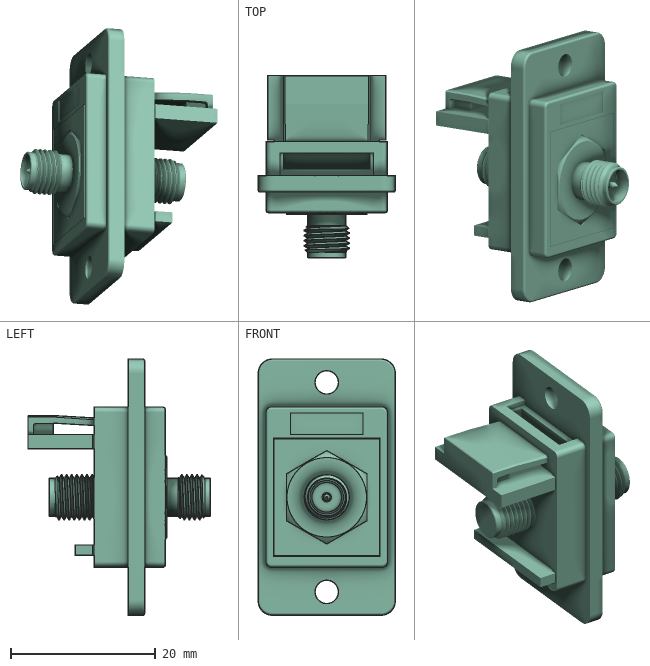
import cadquery as cq
import math


FLANGE_WIDTH = 19.0
FLANGE_HEIGHT = 35.5
FLANGE_THICKNESS = 2.3
FLANGE_CORNER_RADIUS = 2.0
FLANGE_EDGE_FILLET = 0.3
MOUNT_HOLE_DIAMETER = 3.2
MOUNT_HOLE_PITCH = 29.0

HOUSING_WIDTH = 16.8
HOUSING_HEIGHT = 22.2
HOUSING_FRONT = -2.85
HOUSING_BACK = 7.0
HOUSING_CORNER_RADIUS = 0.75
HOUSING_EDGE_FILLET = 0.35

WINDOW_WIDTH = 10.0
WINDOW_BOTTOM = 7.28
WINDOW_TOP = 10.3
WINDOW_DEPTH = 0.1

POCKET_WIDTH = 13.0
POCKET_BACK = 5.4
POCKET_DEPTH = 0.8
CATCH_FRONT = 3.2
CATCH_DEPTH = POCKET_BACK - CATCH_FRONT

AXIS_Z = -1.4
INSERT_OPENING_WIDTH = 14.8
INSERT_OPENING_HEIGHT = 16.4
INSERT_GAP = 0.12
INSERT_GAP_DEPTH = 1.0

NECK_WIDTH = INSERT_OPENING_WIDTH - 2 * INSERT_GAP
NECK_END = HOUSING_BACK + 0.2
BLADE_WIDTH = 16.35
SHELF_BOTTOM = 5.3
SHELF_TOP = 7.3
CLIP_END = HOUSING_BACK + 9.18
TAB_BOTTOM = -9.45
TAB_TOP = -8.0
TAB_END = 9.65

LATCH_WIDTH = 12.0
LATCH_TOP = 9.9
LATCH_UNDERSIDE = 8.82
LATCH_WALL = 0.75
LATCH_KNEE = 12.2
LATCH_DROP = 0.3
LATCH_INNER_FILLET = 0.4
LATCH_BEVEL_WIDTH = 0.28
LATCH_BEVEL_HEIGHT = 0.27
LATCH_END_BEVEL = 0.18
LATCH_REAR_CHAMFER = 0.1
LATCH_BLOCK_WIDTH = 9.8
LATCH_BLOCK_FRONT = 12.65

NUT_ACROSS_FLATS = 11.2
NUT_FACE_DIAMETER = 11.0
NUT_FACE = -3.1
NUT_POCKET_DEPTH = 1.0
NUT_CHAMFER_ANGLE = 30.0
NUT_TURN = 30.0

BARREL_DIAMETER = 5.3
BARREL_FRONT = -9.12
BARREL_BACK = 13.28
BARREL_EDGE_CHAMFER = 0.1
SOCKET_DIAMETER = 4.65
SOCKET_DEPTH = 1.8
FLOOR_STEP_DIAMETER = 4.1
FLOOR_STEP_DEPTH = 0.1
PIN_DIAMETER = 0.9
PIN_RECESS_DIAMETER = 1.27
PIN_RECESS_DEPTH = 0.3
PIN_TIP_DIAMETER = 0.2
PIN_TIP_LENGTH = 0.6
PIN_END = BARREL_FRONT + 0.1

THREAD_DIAMETER = 6.25
THREAD_PITCH = 25.4 / 36
THREAD_ROOT_OVERLAP = 0.05
THREAD_ROOT_WIDTH = 0.69
THREAD_CREST_WIDTH = 0.08
THREAD_OVERHANG = THREAD_PITCH / 2
FRONT_THREAD_ENDS = (-8.35, -4.6)
FRONT_THREAD_ANGLE = 0.0
REAR_THREAD_ENDS = (6.0, 12.4)
REAR_THREAD_ANGLE = 180.0


def block(width, y_start, y_end, z_bottom, z_top):
    """Box centred on x = 0."""
    size = (width, y_end - y_start, z_top - z_bottom)
    return cq.Workplane("XY").box(*size, centered=(True, False, False)).translate((0, y_start, z_bottom))


def cylinder_y(diameter, y_start, y_end, z=AXIS_Z):
    """Cylinder along Y on the x = 0 plane."""
    base = cq.Workplane("XZ", origin=(0, y_start, z))
    return base.circle(diameter / 2).extrude(y_start - y_end)


def cone_y(start_diameter, end_diameter, y_start, y_end):
    """Frustum along Y on the connector axis."""
    outline = [
        (0, y_start),
        (start_diameter / 2, y_start),
        (end_diameter / 2, y_end),
        (0, y_end),
    ]
    profile = cq.Workplane("XY").polyline(outline).close()
    return profile.revolve(360, (0, 0, 0), (0, 1, 0)).translate((0, 0, AXIS_Z))


def make_flange():
    plate = block(FLANGE_WIDTH, 0, FLANGE_THICKNESS, -FLANGE_HEIGHT / 2, FLANGE_HEIGHT / 2)
    plate = plate.edges("|Y").fillet(FLANGE_CORNER_RADIUS)
    return plate.faces("<Y").edges().fillet(FLANGE_EDGE_FILLET)


def make_housing():
    half_height = HOUSING_HEIGHT / 2
    housing = block(HOUSING_WIDTH, HOUSING_FRONT, HOUSING_BACK, -half_height, half_height)
    housing = housing.edges("|Y").fillet(HOUSING_CORNER_RADIUS)
    return housing.faces("<Y").edges().fillet(HOUSING_EDGE_FILLET)


def cut_mount_holes(body):
    for z in (-MOUNT_HOLE_PITCH / 2, MOUNT_HOLE_PITCH / 2):
        body = body.cut(cylinder_y(MOUNT_HOLE_DIAMETER, 0, FLANGE_THICKNESS, z))
    return body


def cut_label_window(body):
    window_back = HOUSING_FRONT + WINDOW_DEPTH
    return body.cut(block(WINDOW_WIDTH, HOUSING_FRONT, window_back, WINDOW_BOTTOM, WINDOW_TOP))


def cut_latch_pocket(body):
    """Shallow pocket with a steep catch slot in its floor."""
    top = HOUSING_HEIGHT / 2
    floor = top - POCKET_DEPTH
    pocket = block(POCKET_WIDTH, FLANGE_THICKNESS, POCKET_BACK, floor, top)
    slot_outline = [
        (CATCH_FRONT, floor),
        (POCKET_BACK, floor),
        (CATCH_FRONT, floor - CATCH_DEPTH),
    ]
    slot = cq.Workplane("YZ").polyline(slot_outline).close().extrude(LATCH_WIDTH / 2, both=True)
    return body.cut(pocket).cut(slot)


def cut_insert_gap(body):
    gap_back = HOUSING_FRONT + INSERT_GAP_DEPTH
    half_height = INSERT_OPENING_HEIGHT / 2
    bottom = AXIS_Z - half_height
    top = AXIS_Z + half_height
    opening = block(INSERT_OPENING_WIDTH, HOUSING_FRONT, gap_back, bottom, top)
    face = block(NECK_WIDTH, HOUSING_FRONT, gap_back, bottom + INSERT_GAP, top - INSERT_GAP)
    return body.cut(opening.cut(face))


def make_blade(y_end, z_bottom, z_top):
    neck = block(NECK_WIDTH, HOUSING_BACK, NECK_END, z_bottom, z_top)
    return neck.union(block(BLADE_WIDTH, NECK_END, y_end, z_bottom, z_top))


def make_latch():
    """Sprung arm that returns to the shelf at its rear end."""
    wall_front = CLIP_END - LATCH_WALL
    outline = [
        (HOUSING_BACK, LATCH_TOP - LATCH_DROP),
        (LATCH_KNEE, LATCH_TOP),
        (CLIP_END - LATCH_REAR_CHAMFER, LATCH_TOP),
        (CLIP_END, LATCH_TOP - LATCH_REAR_CHAMFER),
        (CLIP_END, SHELF_TOP),
        (wall_front, SHELF_TOP),
        (wall_front, LATCH_UNDERSIDE),
        (LATCH_KNEE, LATCH_UNDERSIDE),
        (HOUSING_BACK, LATCH_UNDERSIDE - LATCH_DROP),
    ]
    latch = cq.Workplane("YZ").polyline(outline).close().extrude(LATCH_WIDTH / 2, both=True)
    inner_corner = cq.selectors.NearestToPointSelector((0, wall_front, LATCH_UNDERSIDE))
    latch = latch.edges("|X").edges(inner_corner).fillet(LATCH_INNER_FILLET)
    rib = block(LATCH_BLOCK_WIDTH, LATCH_BLOCK_FRONT, wall_front, SHELF_TOP, LATCH_UNDERSIDE)
    latch = latch.union(rib)
    for side in (-1, 1):
        latch = latch.cut(make_latch_bevel(side))
    return latch


def make_latch_bevel(side):
    """Wedge that bevels one upper edge of the arm, widening toward the housing."""
    def section(y, edge_z, scale):
        edge_x = side * LATCH_WIDTH / 2
        inner_x = edge_x - side * LATCH_BEVEL_WIDTH * scale
        low_z = edge_z - LATCH_BEVEL_HEIGHT * scale
        corners = [(edge_x, edge_z), (inner_x, edge_z), (edge_x, low_z)]
        return cq.Wire.makePolygon([cq.Vector(x, y, z) for x, z in corners], close=True)

    end_scale = LATCH_END_BEVEL / LATCH_BEVEL_HEIGHT
    knee_scale = end_scale + (1 - end_scale) * (CLIP_END - LATCH_KNEE) / (CLIP_END - HOUSING_BACK)
    housing_end = section(HOUSING_BACK, LATCH_TOP - LATCH_DROP, 1)
    knee = section(LATCH_KNEE, LATCH_TOP, knee_scale)
    free_end = section(CLIP_END, LATCH_TOP, end_scale)
    sloped = cq.Solid.makeLoft([housing_end, knee], True)
    level = cq.Solid.makeLoft([knee, free_end], True)
    return cq.Workplane(sloped).union(cq.Workplane(level))


def add_nut(body):
    hex_diameter = NUT_ACROSS_FLATS / math.cos(math.pi / 6)
    pocket_back = HOUSING_FRONT + NUT_POCKET_DEPTH
    nut = cq.Workplane("XZ", origin=(0, pocket_back, AXIS_Z)).polygon(6, hex_diameter)
    nut = nut.extrude(pocket_back - NUT_FACE)
    nut = nut.rotate((0, 0, AXIS_Z), (0, 1, AXIS_Z), NUT_TURN)
    cone_length = pocket_back - NUT_FACE
    cone_growth = 2 * cone_length / math.tan(math.radians(NUT_CHAMFER_ANGLE))
    cone = cone_y(NUT_FACE_DIAMETER, NUT_FACE_DIAMETER + cone_growth, NUT_FACE, pocket_back)
    return body.cut(nut).union(nut.intersect(cone))


def make_ridge(y_start, y_end, start_angle):
    """Right-handed helical ridge, sunk in the barrel and overlong at each end."""
    root_radius = BARREL_DIAMETER / 2 - THREAD_ROOT_OVERLAP
    crest_radius = THREAD_DIAMETER / 2
    half_root = THREAD_ROOT_WIDTH / 2
    half_crest = THREAD_CREST_WIDTH / 2
    profile = [
        (root_radius, -half_root),
        (crest_radius, -half_crest),
        (crest_radius, half_crest),
        (root_radius, half_root),
    ]
    helix = cq.Wire.makeHelix(THREAD_PITCH, y_end - y_start + 2 * THREAD_OVERHANG, root_radius)
    ridge = cq.Workplane("XZ").polyline(profile).close().sweep(cq.Workplane(helix), isFrenet=True)
    ridge = ridge.rotate((0, 0, 0), (0, 0, 1), start_angle)
    return ridge.rotate((0, 0, 0), (1, 0, 0), 90).translate((0, y_end + THREAD_OVERHANG, AXIS_Z))


def make_end_trimmer(y_end, outward):
    """Ring that bevels a ridge down to the barrel surface at y_end and clears everything past it."""
    half_width = THREAD_PITCH
    barrel_radius = BARREL_DIAMETER / 2
    y_past = y_end + outward * 2 * half_width
    outline = [
        (barrel_radius - half_width, y_end + outward * half_width),
        (barrel_radius + half_width, y_end - outward * half_width),
        (barrel_radius + half_width, y_past),
        (barrel_radius - half_width, y_past),
    ]
    ring = cq.Workplane("XY").polyline(outline).close()
    return ring.revolve(360, (0, 0, 0), (0, 1, 0)).translate((0, 0, AXIS_Z))


def make_front_thread():
    y_start, y_end = FRONT_THREAD_ENDS
    ridge = make_ridge(y_start, y_end, FRONT_THREAD_ANGLE)
    return ridge.cut(make_end_trimmer(y_start, -1)).cut(make_end_trimmer(y_end, 1))


def make_rear_thread():
    """Only the outer end is bevelled; the inner end is buried in the housing."""
    y_start, y_end = REAR_THREAD_ENDS
    ridge = make_ridge(y_start, y_end, REAR_THREAD_ANGLE)
    return ridge.cut(make_end_trimmer(y_end, 1))


def make_connector():
    barrel = cylinder_y(BARREL_DIAMETER, BARREL_FRONT, BARREL_BACK)
    barrel = barrel.faces("<Y or >Y").edges().chamfer(BARREL_EDGE_CHAMFER)
    barrel = barrel.union(make_front_thread()).union(make_rear_thread())
    socket_step = BARREL_FRONT + SOCKET_DEPTH
    socket_floor = socket_step + FLOOR_STEP_DEPTH
    barrel = barrel.cut(cylinder_y(SOCKET_DIAMETER, BARREL_FRONT, socket_step))
    barrel = barrel.cut(cylinder_y(FLOOR_STEP_DIAMETER, socket_step, socket_floor))
    pin_shoulder = PIN_END + PIN_TIP_LENGTH
    recess_floor = socket_floor + PIN_RECESS_DEPTH
    barrel = barrel.cut(cylinder_y(PIN_RECESS_DIAMETER, socket_floor, recess_floor))
    pin = cylinder_y(PIN_DIAMETER, pin_shoulder, recess_floor)
    tip = cone_y(PIN_TIP_DIAMETER, PIN_DIAMETER, PIN_END, pin_shoulder)
    return barrel.union(pin).union(tip)


body = make_flange().union(make_housing())
body = cut_mount_holes(body)
body = cut_label_window(body)
body = cut_latch_pocket(body)
body = cut_insert_gap(body)
body = body.union(make_blade(CLIP_END, SHELF_BOTTOM, SHELF_TOP))
body = body.union(make_blade(TAB_END, TAB_BOTTOM, TAB_TOP))
body = body.union(make_latch())
body = add_nut(body)
result = body.union(make_connector())